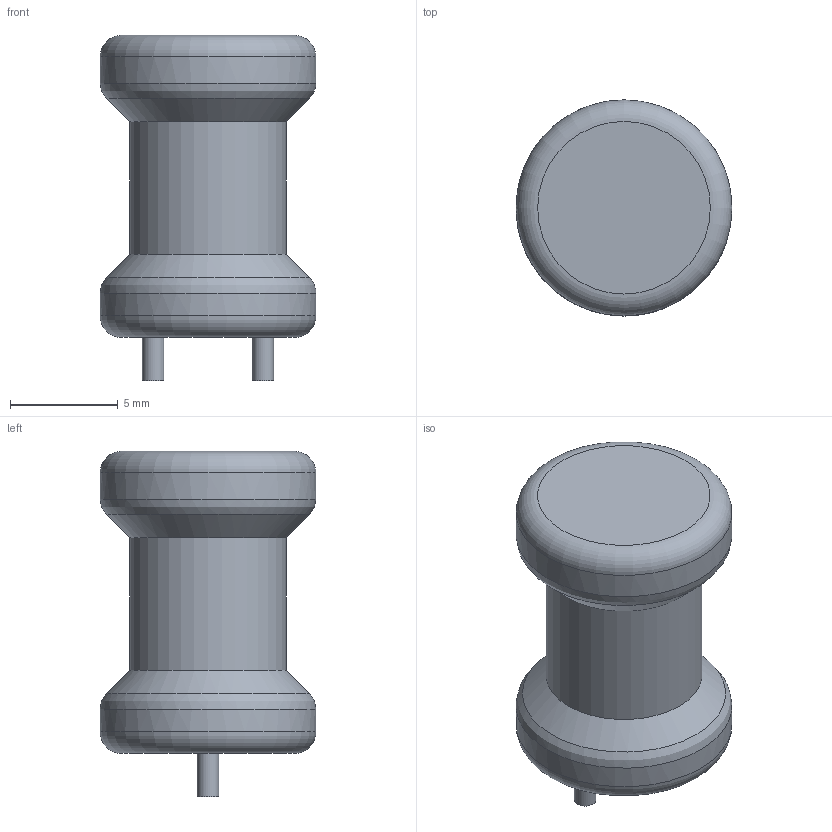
import cadquery as cq
import math

core_height = 14.0
flange_radius = 5.0
neck_radius = 3.625
edge_radius = 1.0
neck_bottom = 3.85
neck_top = 10.0
cone_angle = math.radians(45)

pin_diameter = 1.0
pin_pitch = 5.08
pin_length = 2.0

cone_height = (flange_radius - neck_radius) * math.tan(cone_angle)
lower_rim_top = neck_bottom - cone_height
upper_rim_bottom = neck_top + cone_height


def make_core():
    """Spool-shaped core: two rounded flanges tapering to a round neck."""
    profile = (
        cq.Workplane("XZ")
        .moveTo(0, 0)
        .lineTo(flange_radius, 0)
        .lineTo(flange_radius, lower_rim_top)
        .lineTo(neck_radius, neck_bottom)
        .lineTo(neck_radius, neck_top)
        .lineTo(flange_radius, upper_rim_bottom)
        .lineTo(flange_radius, core_height)
        .lineTo(0, core_height)
        .close()
    )
    spool = profile.revolve(360, (0, 0, 0), (0, 1, 0))
    rim_edges = cq.selectors.RadiusNthSelector(-1)
    return spool.edges(rim_edges).fillet(edge_radius)


def make_pins():
    """Two round leads below the core, spaced along X."""
    return (
        cq.Workplane("XY")
        .rarray(pin_pitch, 1, 2, 1)
        .circle(pin_diameter / 2)
        .extrude(-pin_length)
    )


result = make_core().union(make_pins())